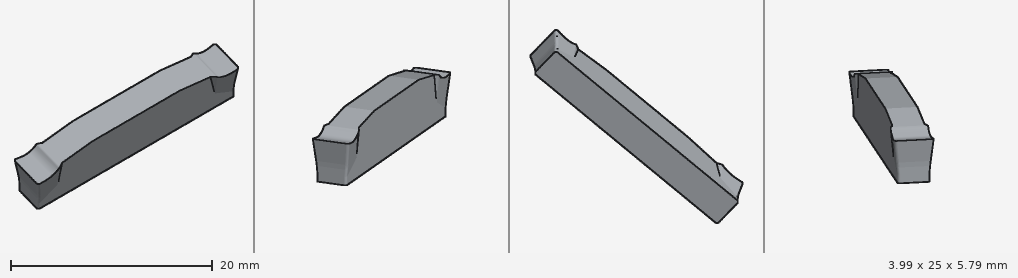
import cadquery as cq
import math

length = 24.95
height = 5.79
body_half_width = 1.62

tip_height = 4.5
relief_angle = math.radians(6.6)
relief_bottom = 2.17
blend_bottom = 1.65

land_length = 0.9
land_drop = 0.12
groove_radius = 2.1
groove_exit_angle = math.radians(45)
crest_y = 9.55
crest_height = 5.1
roof_y = 5.39

flank_rise = 0.1
flank_back_taper = 0.058
flank_start_y = 11.92
flank_start_z = 0.9
fold_y = 9.7
facet_end_y = 9.18
facet_end_z = 5.15
fold_radius = 0.37
corner_radius = 0.25

tip_y = length / 2
overshoot = 0.75


def make_profile():
    """Closed side outline in the YZ plane, extruded along +X."""
    relief_end_y = tip_y - (tip_height - relief_bottom) * math.tan(relief_angle)
    blend_height = relief_bottom - blend_bottom
    base_y = relief_end_y - blend_height * math.tan(relief_angle / 2)
    blend_radius = blend_height / math.sin(relief_angle)
    half_angle = relief_angle / 2
    blend_mid = (
        base_y + blend_radius * (1 - math.cos(half_angle)),
        blend_bottom + blend_radius * math.sin(half_angle),
    )

    land_end = (tip_y - land_length, tip_height - land_drop)
    land_angle = math.atan2(land_drop, land_length)
    groove_y = land_end[0] - groove_radius * math.sin(land_angle)
    groove_z = land_end[1] + groove_radius * math.cos(land_angle)

    def on_groove(angle):
        return (
            groove_y - groove_radius * math.sin(angle),
            groove_z - groove_radius * math.cos(angle),
        )

    groove_mid = on_groove((groove_exit_angle - land_angle) / 2)
    groove_end = on_groove(groove_exit_angle)
    crest_run = groove_end[0] - crest_y
    crest_rise = crest_height - groove_end[1]
    chord_angle = math.atan2(crest_rise, crest_run)
    half_chord = math.hypot(crest_run, crest_rise) / 2
    bulge = half_chord * math.tan((groove_exit_angle - chord_angle) / 2)
    crest_mid = (
        groove_end[0] - crest_run / 2 + bulge * math.sin(chord_angle),
        groove_end[1] + crest_rise / 2 + bulge * math.cos(chord_angle),
    )

    def mirrored(point):
        return (-point[0], point[1])

    return (
        cq.Workplane("YZ")
        .moveTo(-base_y, 0)
        .lineTo(base_y, 0)
        .lineTo(base_y, blend_bottom)
        .threePointArc(blend_mid, (relief_end_y, relief_bottom))
        .lineTo(tip_y, tip_height)
        .lineTo(*land_end)
        .threePointArc(groove_mid, groove_end)
        .threePointArc(crest_mid, (crest_y, crest_height))
        .lineTo(roof_y, height)
        .lineTo(-roof_y, height)
        .lineTo(-crest_y, crest_height)
        .threePointArc(mirrored(crest_mid), mirrored(groove_end))
        .threePointArc(mirrored(groove_mid), mirrored(land_end))
        .lineTo(-tip_y, tip_height)
        .lineTo(-relief_end_y, relief_bottom)
        .threePointArc(mirrored(blend_mid), (-base_y, blend_bottom))
        .close()
    )


def flank_half_width(y, z):
    rise = flank_rise * (z - flank_start_z)
    return body_half_width + rise + flank_back_taper * (y - flank_start_y)


def make_head_envelope():
    """Drafted block around the +Y head, folding inwards behind the groove."""
    back_y = crest_y - 2 * overshoot
    front_y = tip_y + overshoot
    facet_width = flank_half_width(fold_y, facet_end_z) - body_half_width
    facet_slope = facet_width / (fold_y - facet_end_y)

    def section(z):
        fold_x = flank_half_width(fold_y, z)
        back_x = fold_x - facet_slope * (fold_y - back_y)
        front_x = flank_half_width(front_y, z)
        right = [(back_x, back_y), (fold_x, fold_y), (front_x, front_y)]
        left = [(-x, y) for x, y in reversed(right)]
        points = [cq.Vector(x, y, z) for x, y in right + left]
        return cq.Wire.makePolygon(points, close=True)

    block = cq.Solid.makeLoft([section(0), section(height + overshoot)], True)
    envelope = cq.Workplane(block)
    fold_edges = [edge for edge in envelope.edges().vals()
                  if abs(edge.Center().y - fold_y) < 0.002 and edge.BoundingBox().zlen > height]
    return envelope.newObject(fold_edges).fillet(fold_radius)


def round_end_corners(solid):
    """Round the upright corners of both ends."""
    end_band = 0.5
    corners = [edge for edge in solid.edges().vals()
               if abs(edge.Center().y) > tip_y - end_band
               and edge.BoundingBox().zlen > edge.BoundingBox().ylen
               and edge.BoundingBox().zlen > edge.BoundingBox().xlen]
    return solid.newObject(corners).fillet(corner_radius)


core = cq.Workplane("XY").box(
    2 * body_half_width, length + 2 * overshoot, 2 * (height + overshoot)
)
head_envelope = make_head_envelope()
envelope = core.union(head_envelope).union(head_envelope.mirror("XZ"))
blank = make_profile().extrude(length / 4, both=True)

result = round_end_corners(blank.intersect(envelope))